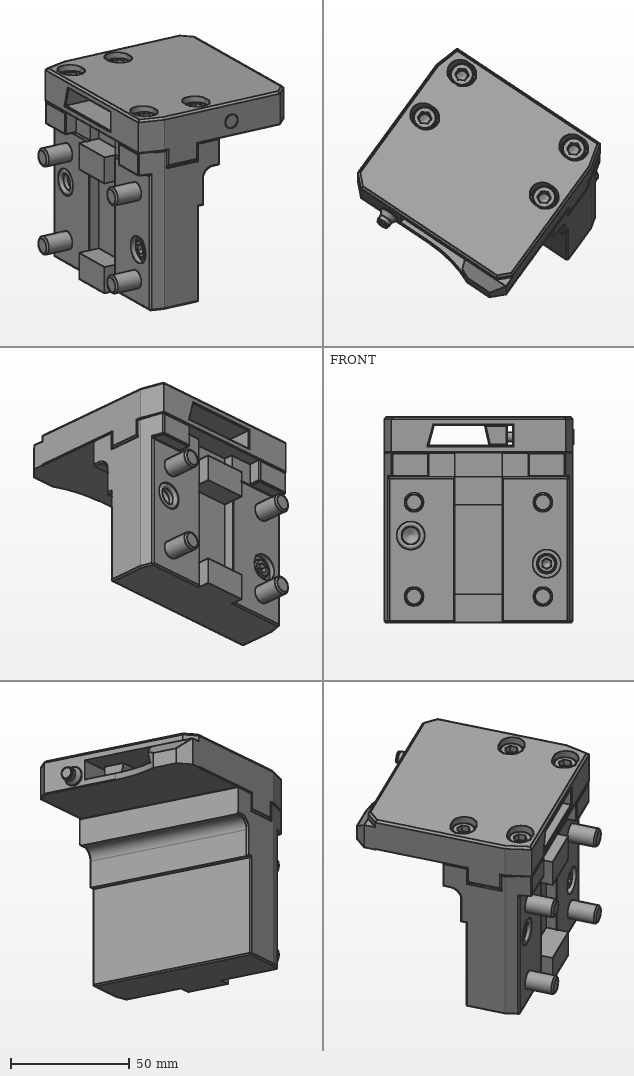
import cadquery as cq
import math

WIDTH = 79.8
HEIGHT = 87.0
HALF_WIDTH = WIDTH / 2

PLATE_THICKNESS = 15.0
PLATE_DEPTH = 74.1
PLATE_BOTTOM = HEIGHT - PLATE_THICKNESS
FRONT_TAPER_X = 3.1
FRONT_TAPER_Y = 11.0
BACK_CORNER = 5.0
TOP_CHAMFER = 1.0
SEAM_CHAMFER = 0.35

NOSE_LENGTH = 5.0
NOSE_TOP = 83.6
NOSE_FLAT_END_X = -23.4
NOSE_CURVE_END_X = -0.9

WINDOW_BOTTOM = 74.95
WINDOW_TOP = 83.5
WINDOW_LEFT_BOTTOM = -21.2
WINDOW_LEFT_TOP = -18.8
WINDOW_RIGHT = 14.4
WINDOW_CHAMFER = 0.4
CLAMP_LEFT_TOP = 2.6
CLAMP_LEFT_BOTTOM = 4.55
CLAMP_RIGHT = 12.15
CLAMP_LENGTH = 35.0
CLAMP_CHAMFER = 0.4
CLAMP_SCREW_Y = 44.6
CLAMP_SCREW_Z = 78.6
CLAMP_SCREW_RADIUS = 2.0
CLAMP_HEAD_RADIUS = 3.1
CLAMP_HEAD_HEIGHT = 0.4

CONNECTOR_X = 19.9
CONNECTOR_Z = 77.3
CONNECTOR_BASE_RADIUS = 4.1
CONNECTOR_NECK_RADIUS = 2.8
CONNECTOR_TIP_RADIUS = 2.45
CONNECTOR_BASE_LENGTH = 0.6
CONNECTOR_NECK_START = 3.1
CONNECTOR_TIP_START = 5.0
CONNECTOR_LENGTH = 5.9

REAR_SCREW_X = 30.8
REAR_SCREW_Y = 32.7
FRONT_SCREW_X = 28.9
FRONT_SCREW_Y = 8.0
COUNTERBORE_WIDTH = 10.7
COUNTERBORE_LENGTH = 12.6
COUNTERBORE_DEPTH = 7.9
SCREW_HEAD_RADIUS = 5.1
SCREW_HEAD_SUNK = 2.0
SCREW_HEAD_CHAMFER = 0.5
SCREW_HEX = 5.0
SCREW_HEX_DEPTH = 3.0

FACE_Y = 5.0
RELIEF_Y = 5.5
RELIEF_BOTTOM = 61.65
RELIEF_SLOPE = 0.9
BODY_BACK = 28.5
STEP_BACK = 31.0
STEP_Z = 43.2
SHELF_BACK = 38.6
SHELF_Z = 59.8
SHELF_FILLET = 4.7
BODY_CHAMFER = 0.7

KEY_FRONT = 12.4
KEY_BACK = 28.2
KEY_BOTTOM = 64.3
KEY_TOP = 73.3
KEY_CHAMFER = 0.8
GROOVE_CHAMFER = 0.5

PAD_INNER_X = 21.0
PAD_BOTTOM = RELIEF_BOTTOM
PAD_ROOT_Y = 7.0
PAD_CHAMFER = 0.5

CHANNEL_HALF_WIDTH = 10.1
CHANNEL_FLOOR = 10.0
CHANNEL_MOUTH_CHAMFER = 0.35
BLOCK_HEIGHT = 11.9
UPPER_BLOCK_BOTTOM = RELIEF_BOTTOM - BLOCK_HEIGHT

PIN_X = 27.3
PIN_LOW_Z = 11.0
PIN_HIGH_Z = 50.9
PIN_RADIUS = 4.0
PIN_TIP_Y = -7.5
PIN_CHAMFER = 0.8

PORT_X = -28.7
PORT_Z = 36.8
RING_RADIUS = 4.8
RING_SECTION = 1.1
RING_PROUD = 0.35
PORT_RADIUS = 3.85
PORT_DEPTH = 3.5

PLUG_X = 28.9
PLUG_Z = 24.9
PLUG_RECESS_RADIUS = 5.95
PLUG_RECESS_DEPTH = 2.5
PLUG_RADIUS = 4.2
PLUG_HEIGHT = 1.6
PLUG_CHAMFER = 0.7
PLUG_HEX = 3.9
PLUG_HEX_DEPTH = 2.6

DRILL_POINT = math.radians(59)
SELECTION_MARGIN = 0.1


def box(x0, x1, y0, y1, z0, z1):
    return cq.Workplane("XY").box(x1 - x0, y1 - y0, z1 - z0, centered=False).translate((x0, y0, z0))


def disc(x, y, z, radius, length, direction):
    return cq.Workplane(cq.Solid.makeCylinder(radius, length, cq.Vector(x, y, z), cq.Vector(*direction)))


def along_y(outline, y0, y1):
    """Prism of an XZ outline between two Y positions."""
    return cq.Workplane("XZ", origin=(0, y0, 0)).polyline(outline).close().extrude(y0 - y1)


def tapered_outline(depth):
    """Plan outline with tapered front corners and square back corners."""
    return [
        (FRONT_TAPER_X - HALF_WIDTH, 0),
        (HALF_WIDTH - FRONT_TAPER_X, 0),
        (HALF_WIDTH, FRONT_TAPER_Y),
        (HALF_WIDTH, depth),
        (-HALF_WIDTH, depth),
        (-HALF_WIDTH, FRONT_TAPER_Y),
    ]


def hex_socket(width, depth):
    """Hexagonal cutter with a conical end, its mouth at the origin facing +Z, corners along Y."""
    corner_circle = width / math.cos(math.pi / 6)
    hexagon = cq.Workplane("XY").polygon(6, corner_circle).extrude(-depth)
    hexagon = hexagon.rotate((0, 0, 0), (0, 0, 1), 30)
    cone_height = width / 2 / math.tan(DRILL_POINT)
    cone = cq.Solid.makeCone(width / 2, 0, cone_height, cq.Vector(0, 0, -depth), cq.Vector(0, 0, -1))
    return hexagon.union(cq.Workplane(cone))


def facing_front(shape, x, y, z):
    """Turns a shape from facing +Z to facing -Y and places it."""
    return shape.rotate((0, 0, 0), (1, 0, 0), 90).translate((x, y, z))


def make_nose():
    flat_y = PLATE_DEPTH + NOSE_LENGTH
    run = NOSE_CURVE_END_X - NOSE_FLAT_END_X
    curve_radius = (run**2 + NOSE_LENGTH**2) / (2 * NOSE_LENGTH)
    half_angle = math.atan2(run, curve_radius - NOSE_LENGTH) / 2
    curve_mid = (
        NOSE_CURVE_END_X - curve_radius * math.sin(half_angle),
        PLATE_DEPTH + curve_radius * (1 - math.cos(half_angle)),
    )
    corner_y = PLATE_DEPTH - BACK_CORNER
    nose = (
        cq.Workplane("XY", origin=(0, 0, PLATE_BOTTOM))
        .moveTo(-HALF_WIDTH, corner_y)
        .lineTo(-HALF_WIDTH, PLATE_DEPTH)
        .lineTo(-HALF_WIDTH + NOSE_LENGTH, flat_y)
        .lineTo(NOSE_FLAT_END_X, flat_y)
        .threePointArc(curve_mid, (NOSE_CURVE_END_X, PLATE_DEPTH))
        .lineTo(NOSE_CURVE_END_X, corner_y)
        .close()
        .extrude(NOSE_TOP - PLATE_BOTTOM)
    )
    slope = (
        cq.Workplane("YZ", origin=(-HALF_WIDTH, 0, 0))
        .polyline([(PLATE_DEPTH, NOSE_TOP), (flat_y, NOSE_TOP), (flat_y, NOSE_TOP - NOSE_LENGTH)])
        .close()
        .extrude(WIDTH)
    )
    return nose.cut(slope)


def make_plate():
    plate = cq.Workplane("XY", origin=(0, 0, PLATE_BOTTOM)).polyline(tapered_outline(PLATE_DEPTH)).close()
    plate = plate.extrude(PLATE_THICKNESS)
    plate = plate.edges("|Z and >Y").chamfer(BACK_CORNER)
    plate = plate.faces(">Z").edges().chamfer(TOP_CHAMFER)
    plate = plate.faces("<Z").edges().chamfer(SEAM_CHAMFER)
    plate = plate.union(make_nose())
    window = along_y(
        [
            (WINDOW_LEFT_BOTTOM, WINDOW_BOTTOM),
            (WINDOW_RIGHT, WINDOW_BOTTOM),
            (WINDOW_RIGHT, WINDOW_TOP),
            (WINDOW_LEFT_TOP, WINDOW_TOP),
        ],
        0,
        PLATE_DEPTH + NOSE_LENGTH,
    )
    plate = plate.cut(window)
    window_rim = cq.selectors.BoxSelector(
        (WINDOW_LEFT_BOTTOM, -SELECTION_MARGIN, WINDOW_BOTTOM - SELECTION_MARGIN),
        (WINDOW_RIGHT + SELECTION_MARGIN, SELECTION_MARGIN, WINDOW_TOP + SELECTION_MARGIN),
    )
    return plate.faces("<Y").edges(window_rim).chamfer(WINDOW_CHAMFER)


def make_clamp():
    clamp = along_y(
        [
            (CLAMP_LEFT_BOTTOM, WINDOW_BOTTOM),
            (CLAMP_RIGHT, WINDOW_BOTTOM),
            (CLAMP_RIGHT, WINDOW_TOP),
            (CLAMP_LEFT_TOP, WINDOW_TOP),
        ],
        CLAMP_SCREW_Y - CLAMP_LENGTH / 2,
        CLAMP_SCREW_Y + CLAMP_LENGTH / 2,
    )
    clamp = clamp.faces("<Y").edges().chamfer(CLAMP_CHAMFER)
    to_right = (1, 0, 0)
    gap = WINDOW_RIGHT - CLAMP_RIGHT
    shank = disc(CLAMP_RIGHT, CLAMP_SCREW_Y, CLAMP_SCREW_Z, CLAMP_SCREW_RADIUS, gap, to_right)
    head = disc(HALF_WIDTH, CLAMP_SCREW_Y, CLAMP_SCREW_Z, CLAMP_HEAD_RADIUS, CLAMP_HEAD_HEIGHT, to_right)
    return clamp.union(shank).union(head)


def make_connector():
    half_section = [
        (0, 0),
        (CONNECTOR_BASE_RADIUS, 0),
        (CONNECTOR_BASE_RADIUS, CONNECTOR_BASE_LENGTH),
        (CONNECTOR_NECK_RADIUS, CONNECTOR_NECK_START),
        (CONNECTOR_NECK_RADIUS, CONNECTOR_TIP_START),
        (CONNECTOR_TIP_RADIUS, CONNECTOR_TIP_START),
        (CONNECTOR_TIP_RADIUS, CONNECTOR_LENGTH),
        (0, CONNECTOR_LENGTH),
    ]
    connector = cq.Workplane("XY").polyline(half_section).close().revolve(360, (0, 0), (0, 1))
    return connector.translate((CONNECTOR_X, PLATE_DEPTH, CONNECTOR_Z))


def add_plate_screw(part, x, y):
    counterbore = (
        cq.Workplane("XY", origin=(x, y, HEIGHT))
        .slot2D(COUNTERBORE_LENGTH, COUNTERBORE_WIDTH)
        .extrude(-COUNTERBORE_DEPTH)
    )
    head = (
        cq.Workplane("XY", origin=(x, y, HEIGHT - COUNTERBORE_DEPTH))
        .circle(SCREW_HEAD_RADIUS)
        .extrude(COUNTERBORE_DEPTH - SCREW_HEAD_SUNK)
        .faces(">Z")
        .edges()
        .chamfer(SCREW_HEAD_CHAMFER)
    )
    socket = hex_socket(SCREW_HEX, SCREW_HEX_DEPTH).translate((x, y, HEIGHT - SCREW_HEAD_SUNK))
    return part.cut(counterbore).union(head.cut(socket))


def key_block():
    return box(-HALF_WIDTH, HALF_WIDTH, KEY_FRONT, KEY_BACK, KEY_BOTTOM, KEY_TOP)


def make_key():
    return key_block().faces("<X or >X").edges().chamfer(KEY_CHAMFER)


def make_pad(side):
    """Pad at the front of the body; side is -1 on the left and 1 on the right."""
    taper_slope = FRONT_TAPER_X / FRONT_TAPER_Y
    outer_x = HALF_WIDTH - FRONT_TAPER_X
    outline = [
        (side * PAD_INNER_X, 0),
        (side * outer_x, 0),
        (side * (outer_x + PAD_ROOT_Y * taper_slope), PAD_ROOT_Y),
        (side * PAD_INNER_X, PAD_ROOT_Y),
    ]
    pad = cq.Workplane("XY", origin=(0, 0, PAD_BOTTOM)).polyline(outline).close()
    pad = pad.extrude(PLATE_BOTTOM - PAD_BOTTOM)
    return pad.faces("<Y or <Z").edges().chamfer(PAD_CHAMFER)


def make_body():
    bend = SHELF_FILLET * (1 - math.sqrt(0.5))
    profile = (
        cq.Workplane("YZ", origin=(-HALF_WIDTH, 0, 0))
        .moveTo(FACE_Y, 0)
        .lineTo(BODY_BACK, 0)
        .lineTo(BODY_BACK, STEP_Z)
        .lineTo(STEP_BACK, STEP_Z)
        .lineTo(STEP_BACK, SHELF_Z - SHELF_FILLET)
        .threePointArc((STEP_BACK + bend, SHELF_Z - bend), (STEP_BACK + SHELF_FILLET, SHELF_Z))
        .lineTo(SHELF_BACK, SHELF_Z)
        .lineTo(SHELF_BACK, PLATE_BOTTOM)
        .lineTo(RELIEF_Y, PLATE_BOTTOM)
        .lineTo(RELIEF_Y, RELIEF_BOTTOM)
        .lineTo(FACE_Y, RELIEF_BOTTOM - RELIEF_SLOPE)
        .close()
        .extrude(WIDTH)
    )
    plan = cq.Workplane("XY").polyline(tapered_outline(SHELF_BACK)).close().extrude(PLATE_BOTTOM)
    body = profile.intersect(plan)
    body = body.faces("<Z").edges().chamfer(BODY_CHAMFER)
    lower_back = cq.selectors.BoxSelector(
        (-WIDTH, BODY_BACK - SELECTION_MARGIN, BODY_CHAMFER),
        (WIDTH, STEP_BACK + SELECTION_MARGIN, SHELF_Z - SHELF_FILLET),
    )
    body = body.edges("|Z or |Y").edges(lower_back).chamfer(BODY_CHAMFER)
    body = body.edges("|Z").edges("<Y").chamfer(BODY_CHAMFER)
    body = body.faces(">Z").edges().chamfer(SEAM_CHAMFER)
    for side in (-1, 1):
        body = body.union(make_pad(side))
    return body


def cut_key_groove(body):
    body = body.cut(key_block())
    groove_floor = cq.selectors.BoxSelector(
        (-WIDTH, KEY_FRONT, KEY_BOTTOM - SELECTION_MARGIN), (WIDTH, KEY_BACK, KEY_BOTTOM + SELECTION_MARGIN)
    )
    return body.edges("|Y").edges(groove_floor).chamfer(GROOVE_CHAMFER)


def add_channel(body):
    """Centre channel with chamfered mouth, bridged by the two locating blocks."""
    mouth_half_width = CHANNEL_HALF_WIDTH + CHANNEL_MOUTH_CHAMFER
    channel_section = [
        (-CHANNEL_HALF_WIDTH, CHANNEL_FLOOR),
        (-CHANNEL_HALF_WIDTH, FACE_Y + CHANNEL_MOUTH_CHAMFER),
        (-mouth_half_width, FACE_Y),
        (mouth_half_width, FACE_Y),
        (CHANNEL_HALF_WIDTH, FACE_Y + CHANNEL_MOUTH_CHAMFER),
        (CHANNEL_HALF_WIDTH, CHANNEL_FLOOR),
    ]
    channel = cq.Workplane("XY").polyline(channel_section).close().extrude(PLATE_BOTTOM)
    body = body.cut(channel)
    for bottom in (0, UPPER_BLOCK_BOTTOM):
        top = bottom + BLOCK_HEIGHT
        block = box(-CHANNEL_HALF_WIDTH, CHANNEL_HALF_WIDTH, 0, CHANNEL_FLOOR, bottom, top)
        body = body.union(block)
    return body


def make_pin(x, z):
    pin = cq.Workplane("XZ", origin=(x, FACE_Y, z)).circle(PIN_RADIUS).extrude(FACE_Y - PIN_TIP_Y)
    return pin.faces("<Y").edges().chamfer(PIN_CHAMFER)


def add_port(part):
    """Blind port with a drill point, ringed by a sunken sealing ring."""
    hole = disc(PORT_X, FACE_Y, PORT_Z, PORT_RADIUS, PORT_DEPTH, (0, 1, 0))
    cone_height = PORT_RADIUS / math.tan(DRILL_POINT)
    point = cq.Solid.makeCone(
        PORT_RADIUS, 0, cone_height, cq.Vector(PORT_X, FACE_Y + PORT_DEPTH, PORT_Z), cq.Vector(0, 1, 0)
    )
    ring_y = FACE_Y - RING_PROUD + RING_SECTION
    ring = cq.Solid.makeTorus(
        RING_RADIUS, RING_SECTION, cq.Vector(PORT_X, ring_y, PORT_Z), cq.Vector(0, 1, 0)
    )
    seat = disc(PORT_X, FACE_Y, PORT_Z, RING_RADIUS + RING_SECTION, ring_y - FACE_Y, (0, 1, 0))
    return part.cut(seat).cut(hole).cut(cq.Workplane(point)).union(cq.Workplane(ring))


def add_plug(part):
    recess = disc(PLUG_X, FACE_Y, PLUG_Z, PLUG_RECESS_RADIUS, PLUG_RECESS_DEPTH, (0, 1, 0))
    plug = cq.Workplane("XY").circle(PLUG_RADIUS).extrude(PLUG_HEIGHT)
    plug = plug.faces(">Z").edges().chamfer(PLUG_CHAMFER)
    socket = hex_socket(PLUG_HEX, PLUG_HEX_DEPTH).translate((0, 0, PLUG_HEIGHT))
    position = (PLUG_X, FACE_Y + PLUG_RECESS_DEPTH, PLUG_Z)
    part = part.cut(recess).union(facing_front(plug, *position))
    return part.cut(facing_front(socket, *position))


body = add_channel(cut_key_groove(make_body()))
part = make_plate().union(make_clamp()).union(make_connector()).union(body).union(make_key())
for side in (-1, 1):
    part = add_plate_screw(part, side * REAR_SCREW_X, REAR_SCREW_Y)
    part = add_plate_screw(part, side * FRONT_SCREW_X, FRONT_SCREW_Y)
    for pin_z in (PIN_LOW_Z, PIN_HIGH_Z):
        part = part.union(make_pin(side * PIN_X, pin_z))
part = add_port(part)
result = add_plug(part).clean()